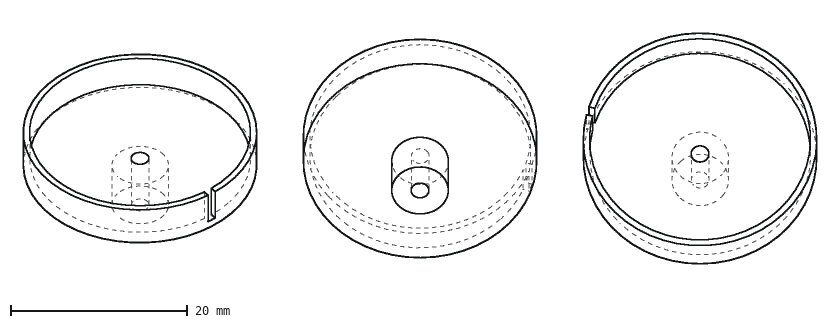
import cadquery as cq

outer_diameter = 26.4
wall = 0.7
cup_height = 5.0
floor_thickness = 1.0
slot_width = 1.0

stem_diameter = 6.4
stem_length = 6.02
bore_diameter = 2.0

outer_radius = outer_diameter / 2
total_height = stem_length + cup_height
floor_top = stem_length + floor_thickness


def cylinder(diameter, bottom, top):
    """Upright cylinder on the Z axis between two heights."""
    return cq.Workplane("XY").workplane(offset=bottom).circle(diameter / 2).extrude(top - bottom)


def rim_slot():
    """Cutter that opens the +X side of the rim down to the cup floor."""
    return (
        cq.Workplane("XY")
        .workplane(offset=floor_top)
        .rect(outer_radius, slot_width)
        .extrude(total_height - floor_top)
        .translate((outer_radius, 0, 0))
    )


stem = cylinder(stem_diameter, 0, stem_length)
cup = cylinder(outer_diameter, stem_length, total_height)
cavity = cylinder(outer_diameter - 2 * wall, floor_top, total_height)
bore = cylinder(bore_diameter, 0, total_height)

result = stem.union(cup).cut(cavity).cut(rim_slot()).cut(bore)